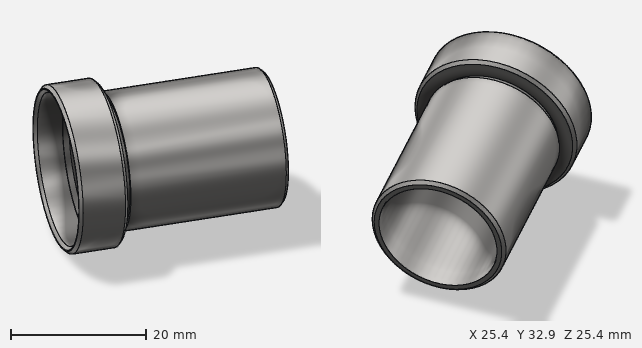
import cadquery as cq

total_length = 32.9
collar_length = 7.5
neck_length = 1.0
edge_chamfer = 0.5
counterbore_depth = 5.4
relief_width = 1.0

collar_radius = 12.7
sleeve_radius = 10.5
neck_radius = 10.0
bore_radius = 9.25
counterbore_radius = 11.55
relief_radius = 11.7


def ring_solid(profile):
    """Revolve a closed (radius, y) outline about the Y axis."""
    return cq.Workplane("XY").polyline(profile).close().revolve(360, (0, 0, 0), (0, 1, 0))


sleeve_start = collar_length + neck_length
body = ring_solid([
    (0, 0),
    (collar_radius - edge_chamfer, 0),
    (collar_radius, edge_chamfer),
    (collar_radius, collar_length - edge_chamfer),
    (collar_radius - edge_chamfer, collar_length),
    (neck_radius, collar_length),
    (neck_radius, sleeve_start),
    (sleeve_radius, sleeve_start),
    (sleeve_radius, total_length - edge_chamfer),
    (sleeve_radius - edge_chamfer, total_length),
    (0, total_length),
])

relief_start = counterbore_depth - relief_width
cavity = ring_solid([
    (0, 0),
    (counterbore_radius + edge_chamfer, 0),
    (counterbore_radius, edge_chamfer),
    (counterbore_radius, relief_start),
    (relief_radius, relief_start),
    (relief_radius, counterbore_depth),
    (bore_radius, counterbore_depth),
    (bore_radius, total_length),
    (0, total_length),
])

result = body.cut(cavity)